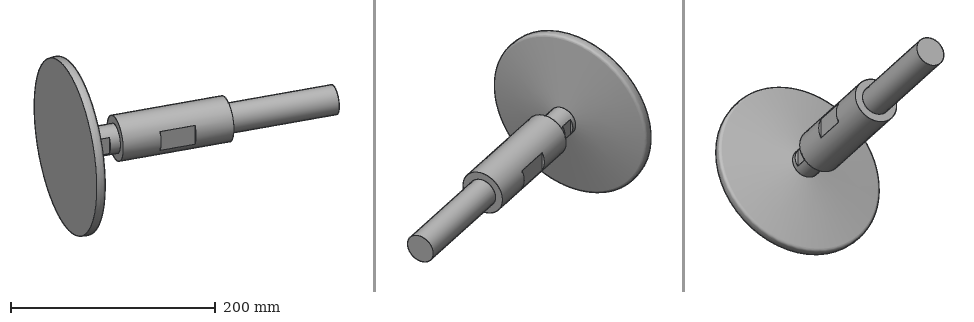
import cadquery as cq

total_length = 280.0

base_diameter = 178.0
sole_diameter = 177.0
rim_bottom = 4.2
cone_bottom = 9.2
rim_round_radius = 3.0
edge_margin = 0.3
cone_top = 22.0

spindle_diameter = 30.0
spindle_flat_width = 24.0
spindle_flat_start = 27.5
spindle_flat_length = 14.0

sleeve_diameter = 46.0
sleeve_start = 51.8
sleeve_length = 115.5
sleeve_flat_width = 41.0
sleeve_flat_length = 36.5
sleeve_flat_start = sleeve_start + (sleeve_length - sleeve_flat_length) / 2


def cylinder(diameter, start, length):
    """Round bar along +Y."""
    return cq.Workplane("XZ", origin=(0, start, 0)).circle(diameter / 2).extrude(-length)


def cut_wrench_flats(body, diameter, flat_width, start, length):
    """Cut two opposite flats that face -X and +X."""
    depth = (diameter - flat_width) / 2
    for side in (-1, 1):
        center_x = side * (flat_width + depth) / 2
        cutter = cq.Workplane("XY").box(depth, length, diameter)
        body = body.cut(cutter.translate((center_x, start + length / 2, 0)))
    return body


def make_base():
    """Conical plate with a rounded upper rim and a slightly tapered lower rim."""
    rim_radius = base_diameter / 2
    spindle_radius = spindle_diameter / 2
    plate = (
        cq.Workplane("XY")
        .lineTo(sole_diameter / 2, 0)
        .lineTo(rim_radius, rim_bottom)
        .lineTo(rim_radius, cone_bottom)
        .lineTo(spindle_radius, cone_top)
        .lineTo(0, cone_top)
        .close()
        .revolve(360, (0, 0, 0), (0, 1, 0))
    )
    rim_edge = cq.selectors.BoxSelector(
        (-base_diameter, cone_bottom - edge_margin, -base_diameter),
        (base_diameter, cone_bottom + edge_margin, base_diameter),
    )
    return plate.edges(rim_edge).fillet(rim_round_radius)


def make_foot():
    """Base plate and spindle in one piece, with wrench flats near the base."""
    spindle = cylinder(spindle_diameter, cone_top, total_length - cone_top)
    spindle = cut_wrench_flats(
        spindle, spindle_diameter, spindle_flat_width, spindle_flat_start, spindle_flat_length
    )
    return make_base().union(spindle)


def make_sleeve():
    """Tube that fits around the spindle, with wrench flats at mid-length."""
    sleeve = cylinder(sleeve_diameter, sleeve_start, sleeve_length)
    sleeve = sleeve.cut(cylinder(spindle_diameter, sleeve_start, sleeve_length))
    return cut_wrench_flats(
        sleeve, sleeve_diameter, sleeve_flat_width, sleeve_flat_start, sleeve_flat_length
    )


foot = make_foot()
sleeve = make_sleeve()
result = cq.Compound.makeCompound([foot.val(), sleeve.val()])